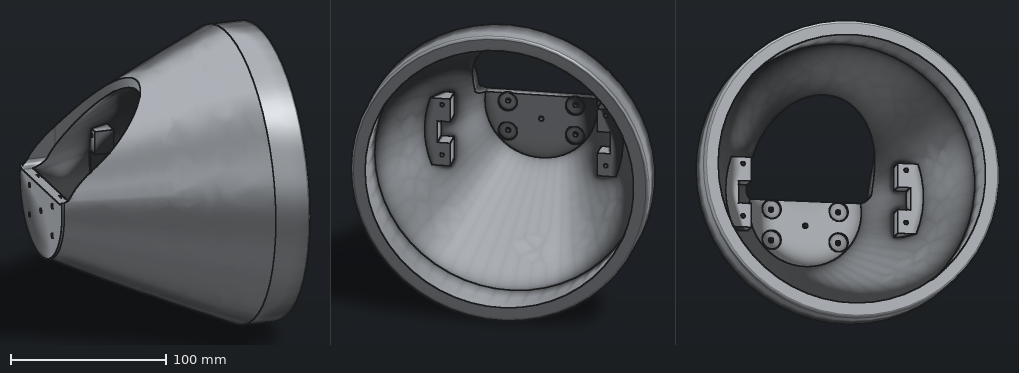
import cadquery as cq
import math

rim_radius = 97.5
length = 150.0
rim_length = 24.0
rim_fillet = 1.8
nose_radius = 41.0
nose_land = 1.8
flank_mid_y = 63.5
flank_mid_radius = 70.2
wall = 6.0
bore_radius = 88.0
bore_front_y = 117.0
plate_thickness = 7.5

window_width = 82.5
window_length = 65.3
window_sill_z = 6.0
window_corner_radius = 4.9

plate_hole_diameter = 3.1
plate_hole_x = 22.0
plate_hole_rows_z = (0.0, -20.0)
plate_center_hole_z = -10.1
counterbore_diameter = 12.3
counterbore_depth = 2.0

lug_inner_x = 48.2
lug_width = 8.4
lug_front_y = 53.8
lug_depth = 12.9
lug_height = 15.6
lug_centers_z = (13.7, -16.5)
lug_hole_diameter = 2.5
lug_hole_x = 53.6
lug_holes_z = (17.2, -17.2)

rim_front_y = length - rim_length


def make_body():
    """Solid outer shape, revolved about the Y axis."""
    profile = (
        cq.Workplane("XY")
        .lineTo(nose_radius, 0)
        .lineTo(nose_radius, nose_land)
        .threePointArc((flank_mid_radius, flank_mid_y), (rim_radius, rim_front_y))
        .lineTo(rim_radius, length)
        .lineTo(0, length)
        .close()
    )
    body = profile.revolve(360, (0, 0, 0), (0, 1, 0))
    return body.faces(">Y").edges().fillet(rim_fillet)


def make_cavity():
    """Inside space, offset from the outer shape by the wall and open at the back."""
    flank_slope = math.atan2(rim_radius - nose_radius, rim_front_y - nose_land)
    radial_wall = wall / math.cos(flank_slope)
    front_radius = nose_radius + (plate_thickness - nose_land) * math.tan(flank_slope) - radial_wall
    profile = (
        cq.Workplane("XY")
        .moveTo(0, plate_thickness)
        .lineTo(front_radius, plate_thickness)
        .threePointArc((flank_mid_radius - radial_wall, flank_mid_y), (bore_radius, bore_front_y))
        .lineTo(bore_radius, length)
        .lineTo(0, length)
        .close()
    )
    return profile.revolve(360, (0, 0, 0), (0, 1, 0))


def make_window():
    """Vertical U-shaped prism, open at the nose, with a rounded bottom edge."""
    half_width = window_width / 2
    spring_line = window_length - half_width
    window = (
        cq.Workplane("XY", origin=(0, 0, window_sill_z))
        .moveTo(-half_width, 0)
        .lineTo(-half_width, spring_line)
        .threePointArc((0, window_length), (half_width, spring_line))
        .lineTo(half_width, 0)
        .close()
        .extrude(rim_radius)
    )
    return window.faces("<Z").edges("not <Y").fillet(window_corner_radius)


def make_plate_holes():
    """Plain centre hole and four corner holes counterbored from the inside of the nose plate."""
    corners = [(x, z) for x in (-plate_hole_x, plate_hole_x) for z in plate_hole_rows_z]
    centers = corners + [(0, plate_center_hole_z)]
    holes = cq.Workplane("XZ").pushPoints(centers).circle(plate_hole_diameter / 2).extrude(-plate_thickness)
    counterbores = (
        cq.Workplane("XZ", origin=(0, plate_thickness - counterbore_depth, 0))
        .pushPoints(corners)
        .circle(counterbore_diameter / 2)
        .extrude(-counterbore_depth)
    )
    return holes.union(counterbores)


def make_side_block(inner_x, bottom_z, top_z):
    """Block from inner_x outward on the +X side; it reaches past the wall and is trimmed later."""
    return cq.Workplane("XY").box(
        rim_radius - inner_x, lug_depth, top_z - bottom_z, centered=False
    ).translate((inner_x, lug_front_y, bottom_z))


def make_lug_pair():
    """Pad with two drilled lugs on the +X side."""
    half_height = lug_height / 2
    pair = make_side_block(
        lug_inner_x + lug_width,
        min(lug_centers_z) - half_height,
        max(lug_centers_z) + half_height,
    )
    for center_z in lug_centers_z:
        pair = pair.union(make_side_block(lug_inner_x, center_z - half_height, center_z + half_height))
    holes = (
        cq.Workplane("XZ", origin=(0, lug_front_y, 0))
        .pushPoints([(lug_hole_x, z) for z in lug_holes_z])
        .circle(lug_hole_diameter / 2)
        .extrude(-lug_depth)
    )
    return pair.cut(holes)


cavity = make_cavity()
lug_pair = make_lug_pair().intersect(cavity)
result = make_body().cut(cavity)
result = result.union(lug_pair).union(lug_pair.mirror("YZ"))
result = result.cut(make_window()).cut(make_plate_holes())